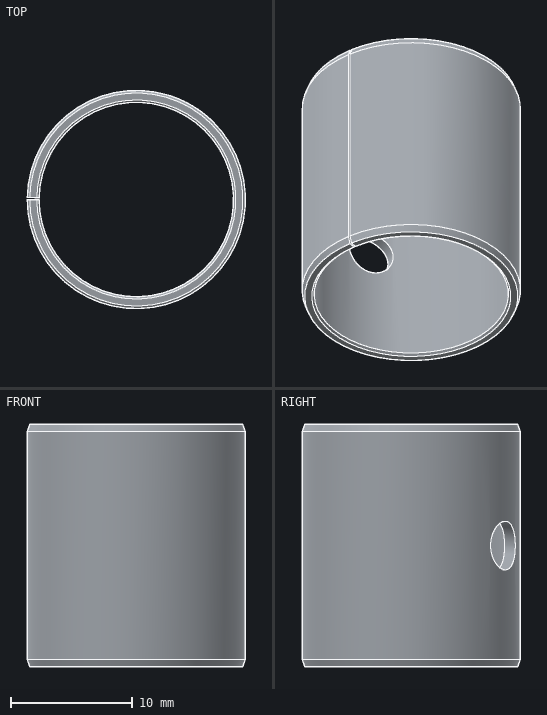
import cadquery as cq

outer_diameter = 18.0
wall = 1.0
length = 20.0
outer_chamfer_height = 0.6
outer_chamfer_depth = 0.22
inner_chamfer = 0.2
gap_angle = 1.0
oil_hole_diameter = 4.0
oil_hole_angle = 59.4

outer_radius = outer_diameter / 2
inner_radius = outer_radius - wall


def make_sleeve():
    """Revolve the wall section from -X, short of a full turn, with both ends chamfered inside and outside."""
    section = [
        (inner_radius + inner_chamfer, 0),
        (outer_radius - outer_chamfer_depth, 0),
        (outer_radius, outer_chamfer_height),
        (outer_radius, length - outer_chamfer_height),
        (outer_radius - outer_chamfer_depth, length),
        (inner_radius + inner_chamfer, length),
        (inner_radius, length - inner_chamfer),
        (inner_radius, inner_chamfer),
    ]
    wall_section = cq.Workplane("XZ").polyline(section).close()
    sleeve = wall_section.revolve(360 - gap_angle, (0, 0), (0, 1))
    return sleeve.rotate((0, 0, 0), (0, 0, 1), 180)


def make_oil_hole():
    """Radial hole at mid-length, from the axis outward through one wall."""
    return (
        cq.Workplane("YZ")
        .center(0, length / 2)
        .circle(oil_hole_diameter / 2)
        .extrude(outer_diameter)
        .rotate((0, 0, 0), (0, 0, 1), oil_hole_angle)
    )


result = make_sleeve().cut(make_oil_hole())